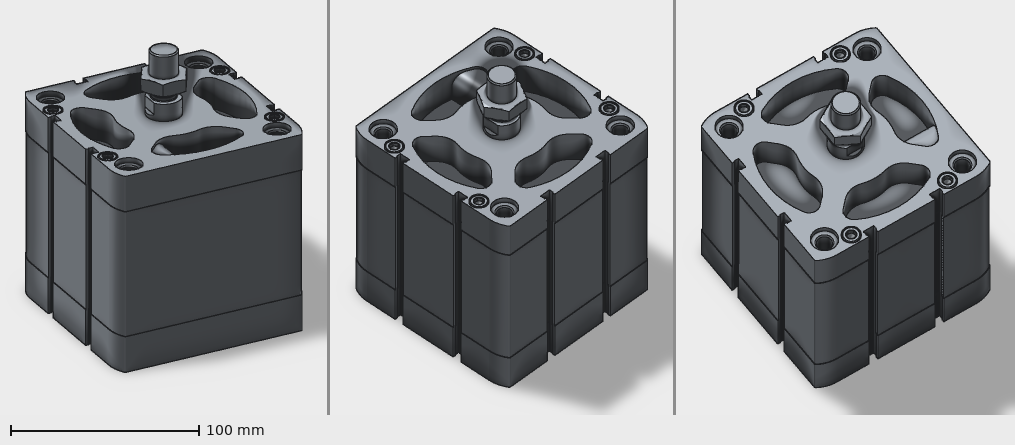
import cadquery as cq
import math

SIDE = 113.5
HALF = SIDE / 2
HOUSING_HEIGHT = 116.7
CAP_HEIGHT = 21.2
BARREL_INSET = 0.3
CORNER_ARC_START = 44.9
CORNER_DROP = 3.5
CORNER_BLEND = 1.2

SLOT_OFFSET = 21.4
SLOT_MOUTH = 5.7
SLOT_WIDTH = 6.7
SLOT_DEPTH = 4.5
SLOT_LIP = 1.9

POCKET_DEPTH = 18.4
POCKET_OUTER_RADIUS = 49.5
POCKET_INNER_RADIUS = 27.1
POCKET_APEX = 8.8
POCKET_OUTER_FILLET = 6.0
POCKET_INNER_FILLET = 13.0

BOSS_RADIUS = 8.0
BOSS_AXIS_Y = -20.0
BOSS_TOP = HOUSING_HEIGHT - 1.7

MOUNT_OFFSET = 44.6
MOUNT_DIAMETER = 8.5
MOUNT_MOUTH_DIAMETER = 10.0
MOUNT_BORE_DIAMETER = 15.0
MOUNT_BORE_DEPTH = 3.1

SCREW_X = 31.1
SCREW_Y = 50.2
SCREW_RECESS_DIAMETER = 10.7
SCREW_HEAD_DIAMETER = 10.0
SCREW_FACE_DIAMETER = 9.0
SCREW_RECESS_DEPTH = 1.0
SOCKET_FLATS = 5.0
SOCKET_DEPTH = 2.3
SOCKET_POINT_DEPTH = 1.0
SOCKET_MOUTH_DIAMETER = 6.0
SOCKET_MOUTH_DEPTH = 0.3

ROD_TOP = 154.8
ROD_BOTTOM = HOUSING_HEIGHT - CAP_HEIGHT
ROD_DIAMETER = 20.0
ROD_SHOULDER = 127.0
NECK_DIAMETER = 14.4
NECK_TOP = 129.5
GROOVE_DIAMETER = 13.5
THREAD_DIAMETER = 16.0
RUNOUT_TOP = 132.7
FLAT_WIDTH = 17.0
FLAT_BOTTOM = 120.1

NUT_FLATS = 24.0
NUT_BOTTOM = 132.8
NUT_HEIGHT = 8.0
NUT_FACE_RADIUS = 11.9
NUT_CHAMFER_HEIGHT = 0.6


def plain_block(inset, bottom, height):
    """Square block with a shallow arc at each corner, drawn in from the full side by inset."""
    half = HALF - inset
    run = half - CORNER_ARC_START
    radius = (run**2 + CORNER_DROP**2) / (2 * CORNER_DROP)
    edge = half - CORNER_DROP
    return (
        cq.Workplane("XY", origin=(0, 0, bottom))
        .moveTo(-CORNER_ARC_START, half)
        .lineTo(CORNER_ARC_START, half)
        .radiusArc((half, edge), radius)
        .lineTo(half, -edge)
        .radiusArc((CORNER_ARC_START, -half), radius)
        .lineTo(-CORNER_ARC_START, -half)
        .radiusArc((-half, -edge), radius)
        .lineTo(-half, edge)
        .radiusArc((-CORNER_ARC_START, half), radius)
        .close()
        .extrude(height)
        .edges("|Z").edges(">X or <X")
        .fillet(CORNER_BLEND)
    )


def slot_cutter(inset, bottom, height, offset):
    """T-section slot in the +Y face of a block."""
    mouth = cq.Workplane("XY").box(SLOT_MOUTH, SLOT_DEPTH, height, centered=(True, False, False))
    channel = cq.Workplane("XY").box(
        SLOT_WIDTH, SLOT_DEPTH - SLOT_LIP, height, centered=(True, False, False)
    )
    return mouth.union(channel).translate((offset, HALF - inset - SLOT_DEPTH, bottom))


def slotted_block(inset, bottom, height):
    """Block with two slots in each of the +Y, -X and -Y faces."""
    block = plain_block(inset, bottom, height)
    for face_angle in (0, 90, 180):
        for offset in (-SLOT_OFFSET, SLOT_OFFSET):
            cutter = slot_cutter(inset, bottom, height, offset)
            block = block.cut(cutter.rotate((0, 0, 0), (0, 0, 1), face_angle))
    return block


def pocket_cutter():
    """Bean-shaped pocket on the +Y side: a ring sector with rounded corners."""
    floor = HOUSING_HEIGHT - POCKET_DEPTH
    ring = (
        cq.Workplane("XY", origin=(0, 0, floor))
        .circle(POCKET_OUTER_RADIUS)
        .circle(POCKET_INNER_RADIUS)
        .extrude(POCKET_DEPTH)
    )
    wedge = (
        cq.Workplane("XY", origin=(0, 0, floor))
        .moveTo(0, POCKET_APEX)
        .lineTo(HALF, POCKET_APEX + HALF)
        .lineTo(-HALF, POCKET_APEX + HALF)
        .close()
        .extrude(POCKET_DEPTH)
    )
    return (
        ring.intersect(wedge)
        .edges("|Z").edges(">Y")
        .fillet(POCKET_OUTER_FILLET)
        .edges("|Z").edges("<Y")
        .fillet(POCKET_INNER_FILLET)
    )


def port_boss():
    """Filler for the -Y end of the +X pocket: a flat top rolling over into an upright side."""
    bottom = HOUSING_HEIGHT - POCKET_DEPTH
    return (
        cq.Workplane("YZ")
        .moveTo(-HALF, bottom)
        .lineTo(BOSS_AXIS_Y + BOSS_RADIUS, bottom)
        .lineTo(BOSS_AXIS_Y + BOSS_RADIUS, BOSS_TOP - BOSS_RADIUS)
        .radiusArc((BOSS_AXIS_Y, BOSS_TOP), -BOSS_RADIUS)
        .lineTo(-HALF, BOSS_TOP)
        .close()
        .extrude(HALF)
    )


def mount_hole_cutter():
    """Through hole with a small chamfer and a shallow counterbore at the top."""
    seat = HOUSING_HEIGHT - MOUNT_BORE_DEPTH
    chamfer = (MOUNT_MOUTH_DIAMETER - MOUNT_DIAMETER) / 2
    return (
        cq.Workplane("XZ")
        .polyline([
            (0, 0),
            (MOUNT_DIAMETER / 2, 0),
            (MOUNT_DIAMETER / 2, seat - chamfer),
            (MOUNT_MOUTH_DIAMETER / 2, seat),
            (MOUNT_BORE_DIAMETER / 2, seat),
            (MOUNT_BORE_DIAMETER / 2, HOUSING_HEIGHT),
            (0, HOUSING_HEIGHT),
        ])
        .close()
        .revolve(360, (0, 0), (0, 1))
    )


def screw_cutter():
    """Ring gap around a chamfered screw head, and the hexagon socket with its drill-point bottom."""
    top = HOUSING_HEIGHT
    head_chamfer = (SCREW_HEAD_DIAMETER - SCREW_FACE_DIAMETER) / 2
    gap = (
        cq.Workplane("XZ")
        .polyline([
            (SCREW_FACE_DIAMETER / 2, top),
            (SCREW_HEAD_DIAMETER / 2, top - head_chamfer),
            (SCREW_HEAD_DIAMETER / 2, top - SCREW_RECESS_DEPTH),
            (SCREW_RECESS_DIAMETER / 2, top - SCREW_RECESS_DEPTH),
            (SCREW_RECESS_DIAMETER / 2, top),
        ])
        .close()
        .revolve(360, (0, 0), (0, 1))
    )
    socket = (
        cq.Workplane("XY", origin=(0, 0, top - SOCKET_DEPTH))
        .polygon(6, SOCKET_FLATS, circumscribed=True)
        .extrude(SOCKET_DEPTH)
    )
    socket_radius = SOCKET_FLATS / 2
    mouth_radius = SOCKET_MOUTH_DIAMETER / 2
    drill_point = cq.Workplane(cq.Solid.makeCone(
        0, socket_radius, SOCKET_POINT_DEPTH, cq.Vector(0, 0, top - SOCKET_DEPTH - SOCKET_POINT_DEPTH)
    ))
    mouth = cq.Workplane(cq.Solid.makeCone(
        socket_radius, mouth_radius, SOCKET_MOUTH_DEPTH, cq.Vector(0, 0, top - SOCKET_MOUTH_DEPTH)
    ))
    return gap.union(socket).union(drill_point).union(mouth)


def make_housing():
    barrel_height = HOUSING_HEIGHT - 2 * CAP_HEIGHT
    housing = (
        slotted_block(0, 0, CAP_HEIGHT)
        .union(slotted_block(BARREL_INSET, CAP_HEIGHT, barrel_height))
        .union(slotted_block(0, HOUSING_HEIGHT - CAP_HEIGHT, CAP_HEIGHT))
    )
    for pocket_angle in (0, 90, 180):
        housing = housing.cut(pocket_cutter().rotate((0, 0, 0), (0, 0, 1), pocket_angle))
    housing = housing.cut(pocket_cutter().rotate((0, 0, 0), (0, 0, 1), 270).cut(port_boss()))
    for side_x in (-1, 1):
        for side_y in (-1, 1):
            housing = housing.cut(
                mount_hole_cutter().translate((side_x * MOUNT_OFFSET, side_y * MOUNT_OFFSET, 0))
            )
            housing = housing.cut(screw_cutter().translate((side_x * SCREW_X, side_y * SCREW_Y, 0)))
    bore = (
        cq.Workplane("XY", origin=(0, 0, ROD_BOTTOM))
        .circle(ROD_DIAMETER / 2)
        .extrude(CAP_HEIGHT)
    )
    return housing.cut(bore)


def make_rod():
    """Turned rod with a grooved neck below its threaded end, and two wrench flats facing +Y and -Y."""
    groove_depth = (NECK_DIAMETER - GROOVE_DIAMETER) / 2
    end_chamfer = (THREAD_DIAMETER - NECK_DIAMETER) / 2
    rod = (
        cq.Workplane("XZ")
        .polyline([
            (0, ROD_BOTTOM),
            (ROD_DIAMETER / 2, ROD_BOTTOM),
            (ROD_DIAMETER / 2, ROD_SHOULDER),
            (NECK_DIAMETER / 2, ROD_SHOULDER),
            (GROOVE_DIAMETER / 2, ROD_SHOULDER + groove_depth),
            (GROOVE_DIAMETER / 2, NECK_TOP - groove_depth),
            (NECK_DIAMETER / 2, NECK_TOP),
            (THREAD_DIAMETER / 2, RUNOUT_TOP),
            (THREAD_DIAMETER / 2, ROD_TOP - end_chamfer),
            (NECK_DIAMETER / 2, ROD_TOP),
            (0, ROD_TOP),
        ])
        .close()
        .revolve(360, (0, 0), (0, 1))
    )
    flat = FLAT_WIDTH / 2
    outside = ROD_DIAMETER
    flat_cutter = (
        cq.Workplane("YZ")
        .moveTo(flat, ROD_SHOULDER)
        .lineTo(flat, FLAT_BOTTOM)
        .lineTo(outside, FLAT_BOTTOM - (outside - flat))
        .lineTo(outside, ROD_SHOULDER)
        .close()
        .extrude(ROD_DIAMETER / 2, both=True)
    )
    return rod.cut(flat_cutter).cut(flat_cutter.mirror("XZ"))


def make_nut():
    """Hexagon nut with corners on the Y axis, both faces chamfered."""
    corner_radius = NUT_FLATS / math.sqrt(3)
    blank = (
        cq.Workplane("XY", origin=(0, 0, NUT_BOTTOM))
        .polygon(6, NUT_FLATS, circumscribed=True)
        .extrude(NUT_HEIGHT)
    )
    nut_top = NUT_BOTTOM + NUT_HEIGHT
    envelope = (
        cq.Workplane("XZ")
        .polyline([
            (THREAD_DIAMETER / 2, NUT_BOTTOM),
            (NUT_FACE_RADIUS, NUT_BOTTOM),
            (corner_radius, NUT_BOTTOM + NUT_CHAMFER_HEIGHT),
            (corner_radius, nut_top - NUT_CHAMFER_HEIGHT),
            (NUT_FACE_RADIUS, nut_top),
            (THREAD_DIAMETER / 2, nut_top),
        ])
        .close()
        .revolve(360, (0, 0), (0, 1))
    )
    return blank.intersect(envelope)


housing = make_housing()
rod = make_rod()
nut = make_nut()
result = cq.Compound.makeCompound([housing.val(), rod.val(), nut.val()])